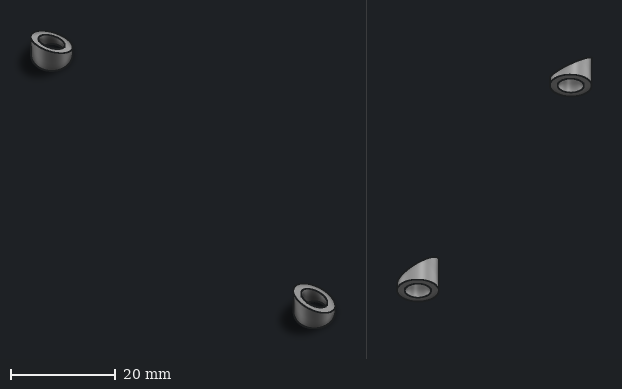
import cadquery as cq

OVERALL_LENGTH = 88.0
OUTER_DIAMETER = 8.0
BORE_DIAMETER = 5.0
CENTRE_X = (OVERALL_LENGTH - OUTER_DIAMETER) / 2

LEAN_ANGLE = 0.63

LEFT_SEAT_HEIGHT = 4.0
RIGHT_SEAT_HEIGHT = 4.3
SEAT_RISE_FRONT = 0.65
SEAT_RISE_INWARD = 0.14

BLANK_HEIGHT = 10.6
WASTE_SIZE = 4 * BLANK_HEIGHT


def make_spacer(side, seat_height):
    """Tubular spacer cut by a sloping seat; side is -1 for left and +1 for right."""
    blank = cq.Workplane("XY").circle(OUTER_DIAMETER / 2).circle(BORE_DIAMETER / 2).extrude(BLANK_HEIGHT)
    seat = cq.Plane(
        origin=(0, 0, seat_height),
        xDir=(1, 0, -side * SEAT_RISE_INWARD),
        normal=(side * SEAT_RISE_INWARD, SEAT_RISE_FRONT, 1),
    )
    waste = cq.Workplane(seat).rect(WASTE_SIZE, WASTE_SIZE).extrude(WASTE_SIZE)
    spacer = blank.cut(waste)
    leaning = spacer.rotate((0, 0, 0), (1, 0, 0), LEAN_ANGLE)
    return leaning.translate((side * CENTRE_X, 0, 0))


spacers = []
for side, seat_height in ((-1, LEFT_SEAT_HEIGHT), (1, RIGHT_SEAT_HEIGHT)):
    spacers.append(make_spacer(side, seat_height).val())

result = cq.Compound.makeCompound(spacers)